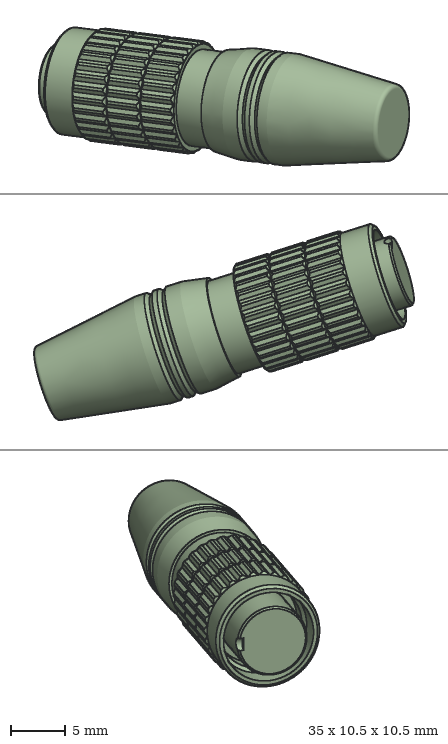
import cadquery as cq
import math

length = 35.0
max_radius = 5.25

plug_radius = 3.35
plug_chamfer = 0.18
sleeve_front = 1.3
sleeve_radius = 5.0
sleeve_chamfer = 0.28
recess_radius = 4.35
recess_inner_radius = 4.0
recess_cone_start = 3.57
recess_cone_length = 0.35
recess_floor = 5.6

grip_start = 4.35
band_length = 3.5
band_count = 3
band_chamfer = max_radius - sleeve_radius
tooth_count = 30
tooth_land = 0.28
grip_end = grip_start + band_count * band_length

body_radius = 5.2
neck_radius = 4.5
collar_start = 17.55
collar_radius = 4.8
body_start = 19.95
grooves = [21.85, 23.1]
groove_radius = 4.9
groove_half_width = 0.4
taper_start = 24.5
tail_radius = 3.57
tail_round = 0.42

notch_radius = 0.6
notch_bottom = 2.75


def turned_body():
    """Solid of revolution including the annular recess, before knurling and notching."""
    profile = (
        cq.Workplane("XY")
        .moveTo(0, 0)
        .lineTo(0, plug_radius - plug_chamfer)
        .lineTo(plug_chamfer, plug_radius)
        .lineTo(recess_floor, plug_radius)
        .lineTo(recess_floor, recess_inner_radius)
        .lineTo(recess_cone_start + recess_cone_length, recess_inner_radius)
        .lineTo(recess_cone_start, recess_radius)
        .lineTo(sleeve_front, recess_radius)
        .lineTo(sleeve_front, sleeve_radius - sleeve_chamfer)
        .lineTo(sleeve_front + sleeve_chamfer, sleeve_radius)
        .lineTo(grip_start, sleeve_radius)
    )
    for band in range(band_count):
        start = grip_start + band * band_length
        end = start + band_length
        profile = (
            profile
            .lineTo(start + band_chamfer, max_radius)
            .lineTo(end - band_chamfer, max_radius)
            .lineTo(end, sleeve_radius)
        )
    profile = (
        profile
        .lineTo(grip_end, neck_radius)
        .lineTo(collar_start, neck_radius)
        .lineTo(collar_start, collar_radius)
        .lineTo(body_start, body_radius)
    )
    for groove in grooves:
        profile = (
            profile
            .lineTo(groove - groove_half_width, body_radius)
            .lineTo(groove, groove_radius)
            .lineTo(groove + groove_half_width, body_radius)
        )
    profile = (
        profile
        .lineTo(taper_start, body_radius)
        .lineTo(length, tail_radius)
        .lineTo(length, 0)
        .close()
    )
    body = profile.revolve(360, (0, 0, 0), (1, 0, 0))
    return body.faces(">X").edges().fillet(tail_round)


def knurl_grooves():
    """V grooves along the grip; a tooth is centred on the Y axis."""
    pitch = 360 / tooth_count
    half_angle = math.radians(pitch / 2) - tooth_land / (2 * max_radius)
    overshoot = 0.7
    root = (sleeve_radius, 0)
    flank_x = max_radius * math.cos(half_angle)
    flank_y = max_radius * math.sin(half_angle)
    rim = sleeve_radius + overshoot
    rim_half_width = overshoot * flank_y / (flank_x - sleeve_radius)
    groove = (
        cq.Workplane("YZ", origin=(grip_start, 0, 0))
        .polyline([root, (rim, rim_half_width), (rim, -rim_half_width)])
        .close()
        .extrude(grip_end - grip_start)
    )
    pattern = cq.Workplane("XY")
    for index in range(tooth_count):
        angle = (index + 0.5) * pitch
        pattern = pattern.add(groove.rotate((0, 0, 0), (1, 0, 0), angle))
    return pattern.combine(glue=False)


def plug_notch():
    """Cylinder along Y, centred on the plug face."""
    return (
        cq.Workplane("XZ", origin=(0, notch_bottom, 0))
        .circle(notch_radius)
        .extrude(-plug_radius)
    )


result = turned_body().cut(plug_notch()).cut(knurl_grooves())